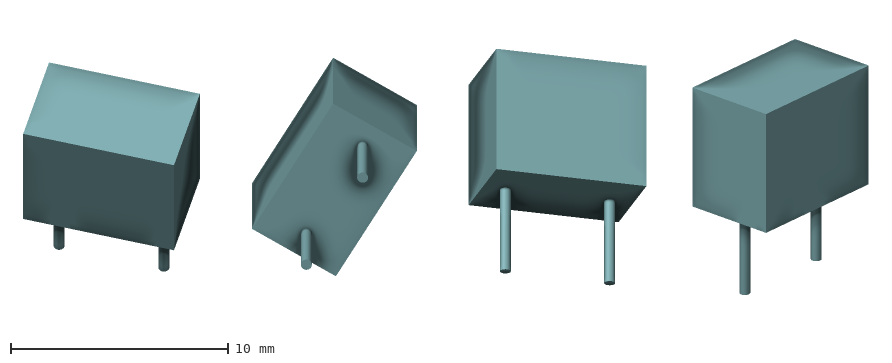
import cadquery as cq

housing_length = 7.19
housing_width = 4.5
housing_height = 6.0

overall_height = 10.06
pin_diameter = 0.5
pin_spacing = 5.0
pin_length = overall_height - housing_height


def make_housing():
    """Rectangular block centred on the Z axis."""
    return cq.Workplane("XY").box(
        housing_length, housing_width, housing_height, centered=(True, True, False)
    )


def make_pin(x):
    """Round lead at the given X, running down from the housing underside."""
    return cq.Workplane("XY").center(x, 0).circle(pin_diameter / 2).extrude(-pin_length)


housing = make_housing()
pins = [make_pin(side * pin_spacing / 2) for side in (-1, 1)]

result = cq.Compound.makeCompound([housing.val(), *[pin.val() for pin in pins]])